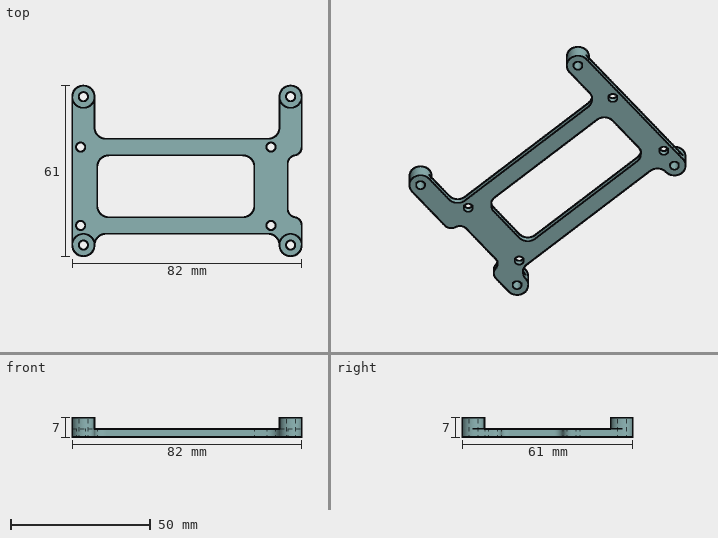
import cadquery as cq
import math

plate_thickness = 3.0
overall_height = 7.0
boss_spacing_x = 74.0
boss_spacing_y = 53.0
boss_radius = 4.0
boss_hole_diameter = 3.2

rail_top_y = 11.5
rail_bottom_y = -22.5
inner_corner_radius = 4.0

window_left_x = -32.0
window_right_x = 24.0
window_top_y = 5.5
window_bottom_y = -16.5
window_corner_radius = 4.0

notch_depth = 5.0
notch_corner_radius = 3.0

mount_hole_diameter = 3.2
mount_left_x = -38.0
mount_right_x = 30.0
mount_top_y = 8.5
mount_bottom_y = -19.5

boss_x = boss_spacing_x / 2
boss_y = boss_spacing_y / 2
outer_x = boss_x + boss_radius
inner_x = boss_x - boss_radius
notch_floor_x = outer_x - notch_depth
notch_mid_x = outer_x - notch_depth / 2
notch_center_offset = notch_corner_radius - notch_depth / 2
notch_arc_height = math.sqrt(notch_corner_radius**2 - notch_center_offset**2)
boss_centers = [(x, y) for x in (-boss_x, boss_x) for y in (-boss_y, boss_y)]
mount_centers = [(x, y) for x in (mount_left_x, mount_right_x) for y in (mount_bottom_y, mount_top_y)]


def make_plate():
    """H-shaped plate; every corner of the outline is a tangent arc."""
    fillet_end_x = inner_x - inner_corner_radius
    outline = (
        cq.Workplane("XY")
        .moveTo(-outer_x, -boss_y)
        .lineTo(-outer_x, boss_y)
        .tangentArcPoint((-inner_x, boss_y), relative=False)
        .lineTo(-inner_x, rail_top_y + inner_corner_radius)
        .tangentArcPoint((-fillet_end_x, rail_top_y), relative=False)
        .lineTo(fillet_end_x, rail_top_y)
        .tangentArcPoint((inner_x, rail_top_y + inner_corner_radius), relative=False)
        .lineTo(inner_x, boss_y)
        .tangentArcPoint((outer_x, boss_y), relative=False)
        .lineTo(outer_x, window_top_y + notch_arc_height)
        .tangentArcPoint((notch_mid_x, window_top_y), relative=False)
        .tangentArcPoint((notch_floor_x, window_top_y - notch_arc_height), relative=False)
        .lineTo(notch_floor_x, window_bottom_y + notch_arc_height)
        .tangentArcPoint((notch_mid_x, window_bottom_y), relative=False)
        .tangentArcPoint((outer_x, window_bottom_y - notch_arc_height), relative=False)
        .lineTo(outer_x, -boss_y)
        .tangentArcPoint((inner_x, -boss_y), relative=False)
        .tangentArcPoint((fillet_end_x, rail_bottom_y), relative=False)
        .lineTo(-fillet_end_x, rail_bottom_y)
        .tangentArcPoint((-inner_x, rail_bottom_y - inner_corner_radius), relative=False)
        .tangentArcPoint((-outer_x, -boss_y), relative=False)
        .close()
    )
    return outline.extrude(plate_thickness)


def make_window():
    """Rounded rectangular opening."""
    width = window_right_x - window_left_x
    length = window_top_y - window_bottom_y
    center_x = (window_left_x + window_right_x) / 2
    center_y = (window_bottom_y + window_top_y) / 2
    return (
        cq.Workplane("XY")
        .center(center_x, center_y)
        .rect(width, length)
        .extrude(plate_thickness)
        .edges("|Z")
        .fillet(window_corner_radius)
    )


def make_cylinders(centers, radius, height):
    """Upright cylinders that start at the underside of the plate."""
    return cq.Workplane("XY").pushPoints(centers).circle(radius).extrude(height)


result = (
    make_plate()
    .cut(make_window())
    .union(make_cylinders(boss_centers, boss_radius, overall_height))
    .cut(make_cylinders(boss_centers, boss_hole_diameter / 2, overall_height))
    .cut(make_cylinders(mount_centers, mount_hole_diameter / 2, plate_thickness))
)